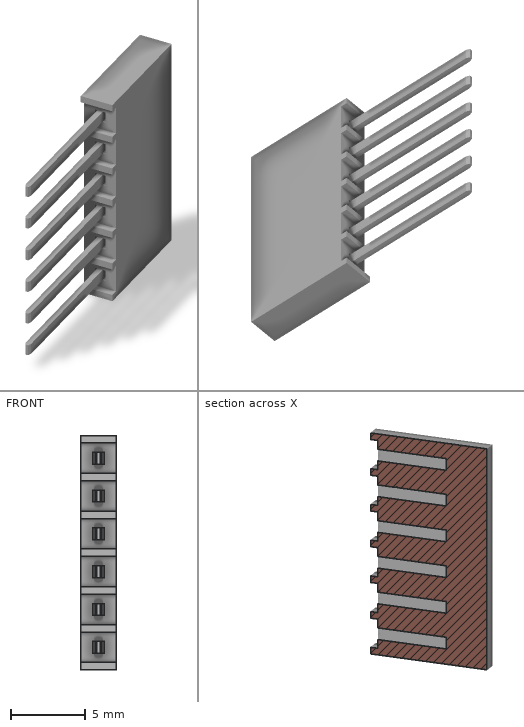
import cadquery as cq

housing_width = 2.4
housing_height = 15.75
overall_length = 18.52
housing_length = 8.5

pin_count = 6
rib_thickness = 0.5
rib_depth = 0.5

pin_width = 0.4
pin_height = 0.8
tip_width = 0.2
tip_length = 0.26

socket_size = pin_height
socket_depth = 5.0

pitch = (housing_height - rib_thickness) / pin_count
back_y = overall_length / 2
rib_face_y = back_y - housing_length
contact_face_y = rib_face_y + rib_depth
tip_y = -overall_length / 2
socket_floor_y = contact_face_y + socket_depth


def block(width, y_start, y_end, height, z_center):
    """Box centred on X and on z_center, running from y_start to y_end."""
    return (
        cq.Workplane("XY")
        .box(width, y_end - y_start, height)
        .translate((0, (y_start + y_end) / 2, z_center))
    )


def pin(z_center):
    """Blade from the socket floor to its tip, tapered in X only."""
    shoulder_y = tip_y + tip_length
    return (
        cq.Workplane("XY", origin=(0, 0, z_center - pin_height / 2))
        .moveTo(-pin_width / 2, socket_floor_y)
        .lineTo(-pin_width / 2, shoulder_y)
        .lineTo(-tip_width / 2, tip_y)
        .lineTo(tip_width / 2, tip_y)
        .lineTo(pin_width / 2, shoulder_y)
        .lineTo(pin_width / 2, socket_floor_y)
        .close()
        .extrude(pin_height)
    )


result = block(housing_width, contact_face_y, back_y, housing_height, 0)

for index in range(pin_count + 1):
    rib_z = (index - pin_count / 2) * pitch
    result = result.union(block(housing_width, rib_face_y, contact_face_y, rib_thickness, rib_z))

for index in range(pin_count):
    pin_z = (index - (pin_count - 1) / 2) * pitch
    socket = block(socket_size, contact_face_y, socket_floor_y, socket_size, pin_z)
    result = result.cut(socket).union(pin(pin_z))